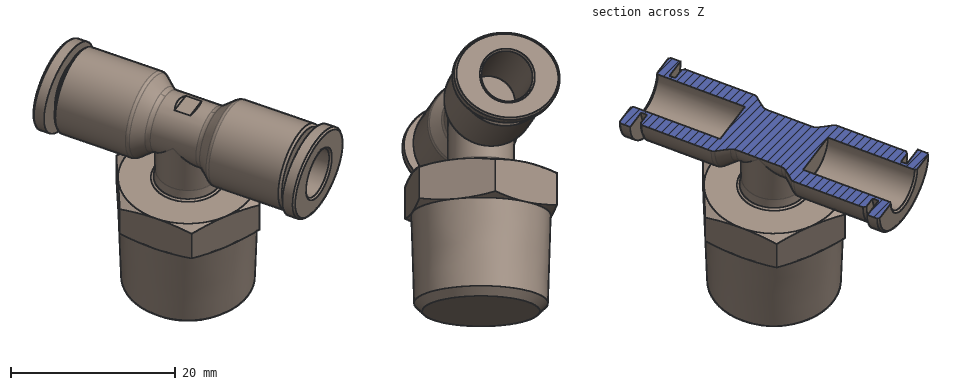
import cadquery as cq
import math


half_length = 17.95
run_radius = 5.6
core_radius = 4.02
run_end = 15.58
run_end_chamfer = 0.32
cone_outer_x = 5.45
cone_inner_x = 3.5
cone_outer_fillet = 0.72
cone_inner_fillet = 1.0

collar_half_width = 6.55
collar_half_height = 5.5
collar_thickness = 1.6
collar_chamfer = 0.25
collar_neck_radius = 3.7

bore_radius = 3.15
bore_depth = 12.2
bore_chamfer = 0.25

flat_height = 3.75
flat_length = 2.15
flat_end_slope = 45.0

stem_radius = core_radius
stem_taper_top_z = -6.45
stem_taper_radius = 4.2
stem_foot_radius = 4.52
stem_foot_height = 0.18

hex_across_flats = 17.0
hex_height = 5.0
hex_top_z = -7.9
hex_corner_drop = 0.5

part_height = 30.5
part_bottom_z = run_radius - part_height
thread_taper = 1 / 16
thread_chamfer = 1.0

hex_bottom_z = hex_top_z - hex_height
hex_flat_radius = hex_across_flats / 2
hex_corner_radius = hex_flat_radius / math.cos(math.radians(30))


def revolve_about_z(points):
    """Turn an (r, z) outline about the Z axis."""
    return cq.Workplane("XZ").polyline(points).close().revolve(360, (0, 0), (0, 1))


def make_run():
    """Two large barrels joined by a slimmer core, with rounded cone transitions."""
    half_outline = [
        (cone_inner_x, core_radius),
        (cone_outer_x, run_radius),
        (run_end - run_end_chamfer, run_radius),
        (run_end, run_radius - run_end_chamfer),
        (run_end, 0),
    ]
    mirrored_outline = [(-x, r) for x, r in reversed(half_outline)]
    run = (
        cq.Workplane("XZ")
        .polyline(mirrored_outline + half_outline)
        .close()
        .revolve(360, (0, 0), (1, 0))
    )
    for x, radius in ((cone_inner_x, cone_inner_fillet), (cone_outer_x, cone_outer_fillet)):
        for side in (-1, 1):
            ring_edge = cq.selectors.NearestToPointSelector((side * x, 0, 0))
            run = run.edges(ring_edge).fillet(radius)
    return run


def make_flat_cutter():
    """Prism with sloped ends that leaves the recessed flat on top of the core."""
    cut_height = run_radius - flat_height
    end_run = cut_height / math.tan(math.radians(flat_end_slope))
    half = flat_length / 2
    return (
        cq.Workplane("XZ")
        .polyline([
            (-half, flat_height),
            (half, flat_height),
            (half + end_run, run_radius),
            (-half - end_run, run_radius),
        ])
        .close()
        .extrude(core_radius, both=True)
    )


def make_right_collar():
    """Oval release collar on its neck, at the +X end."""
    collar_start = half_length - collar_thickness
    collar = (
        cq.Workplane("YZ", origin=(collar_start, 0, 0))
        .ellipse(collar_half_width, collar_half_height)
        .extrude(collar_thickness)
        .faces(">X")
        .chamfer(collar_chamfer)
    )
    neck = (
        cq.Workplane("YZ", origin=(run_end, 0, 0))
        .circle(collar_neck_radius)
        .extrude(collar_start - run_end)
    )
    return collar.union(neck)


def make_right_bore():
    """Blind tube socket with a chamfered mouth, opening at the +X end."""
    floor_x = half_length - bore_depth
    return (
        cq.Workplane("XZ")
        .polyline([
            (floor_x, 0),
            (floor_x, bore_radius),
            (half_length - bore_chamfer, bore_radius),
            (half_length, bore_radius + bore_chamfer),
            (half_length, 0),
        ])
        .close()
        .revolve(360, (0, 0), (1, 0))
    )


def make_stem():
    """Branch stem from the tube axis to the hexagon, flared at its foot."""
    foot_top_z = hex_top_z + stem_foot_height
    return revolve_about_z([
        (0, 0),
        (stem_radius, 0),
        (stem_radius, stem_taper_top_z),
        (stem_taper_radius, foot_top_z),
        (stem_foot_radius, hex_top_z),
        (0, hex_top_z),
    ])


def make_hexagon():
    """Hexagon with corners on the X axis, corners bevelled above and below."""
    prism = (
        cq.Workplane("XY", origin=(0, 0, hex_bottom_z))
        .polygon(6, 2 * hex_corner_radius)
        .extrude(hex_height)
    )
    bevel_envelope = revolve_about_z([
        (0, hex_bottom_z),
        (hex_flat_radius, hex_bottom_z),
        (hex_corner_radius, hex_bottom_z + hex_corner_drop),
        (hex_corner_radius, hex_top_z - hex_corner_drop),
        (hex_flat_radius, hex_top_z),
        (0, hex_top_z),
    ])
    return prism.intersect(bevel_envelope)


def make_thread_body():
    """Plain taper standing for the pipe thread, chamfered at its lower end."""
    chamfer_top_z = part_bottom_z + thread_chamfer
    lower_radius = hex_flat_radius - (hex_bottom_z - chamfer_top_z) * thread_taper / 2
    return revolve_about_z([
        (0, hex_bottom_z),
        (hex_flat_radius, hex_bottom_z),
        (lower_radius, chamfer_top_z),
        (lower_radius - thread_chamfer, part_bottom_z),
        (0, part_bottom_z),
    ])


right_collar = make_right_collar()
right_bore = make_right_bore()

result = (
    make_run()
    .union(make_stem())
    .union(make_hexagon())
    .union(make_thread_body())
    .union(right_collar)
    .union(right_collar.mirror("YZ"))
    .cut(right_bore)
    .cut(right_bore.mirror("YZ"))
    .cut(make_flat_cutter())
)